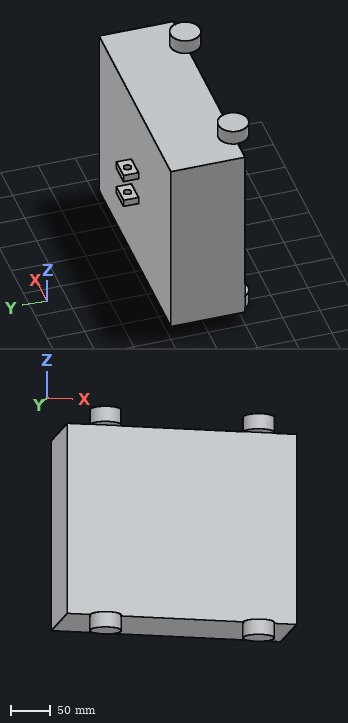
import cadquery as cq

body_length = 300.0
body_depth = 100.0
body_height = 250.0

wheel_diameter = 40.2
wheel_thickness = 20.0
wheel_spacing = 200.0

lug_width = 30.0
lug_reach = 20.0
lug_thickness = 10.0
lug_gap = 30.0
pin_hole_diameter = 10.0

front_y = -body_depth / 2
back_y = body_depth / 2


def make_wheel_pair(base_z):
    """Left and right wheels, rising from base_z."""
    return (
        cq.Workplane("XY", origin=(0, front_y, base_z))
        .pushPoints([(-wheel_spacing / 2, 0), (wheel_spacing / 2, 0)])
        .circle(wheel_diameter / 2)
        .extrude(wheel_thickness)
    )


def make_lug(base_z):
    """One drilled hitch lug, rising from base_z."""
    return (
        cq.Workplane("XY", origin=(0, back_y + lug_reach / 2, base_z))
        .rect(lug_width, lug_reach)
        .circle(pin_hole_diameter / 2)
        .extrude(lug_thickness)
    )


result = cq.Workplane("XY").box(body_length, body_depth, body_height)

for wheel_base in (body_height / 2, -body_height / 2 - wheel_thickness):
    result = result.union(make_wheel_pair(wheel_base))

for lug_base in (lug_gap / 2, -lug_gap / 2 - lug_thickness):
    result = result.union(make_lug(lug_base))